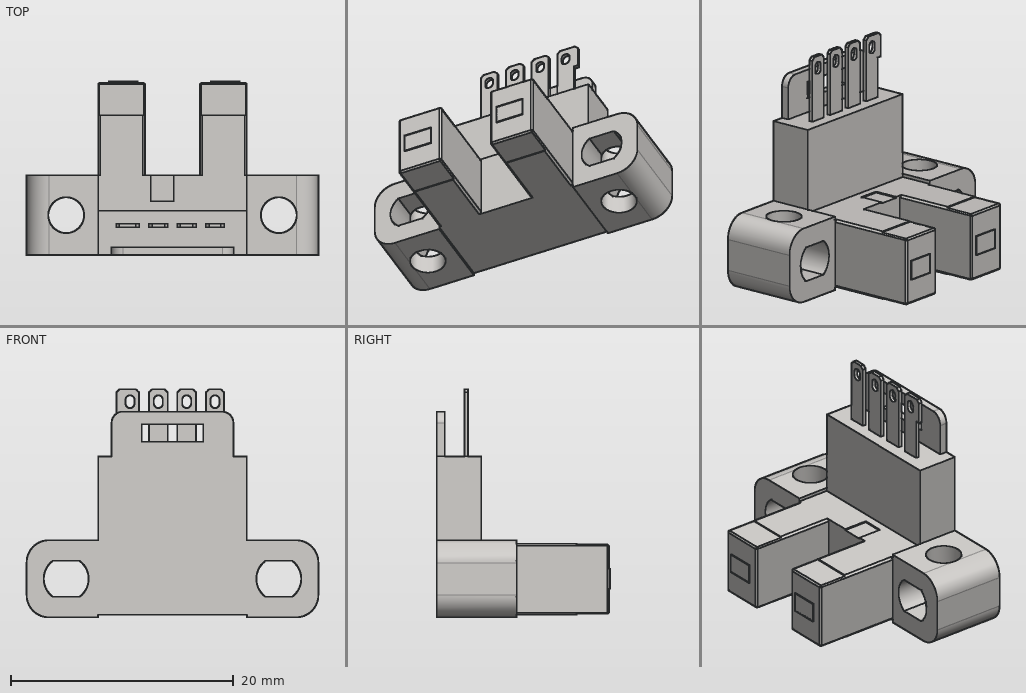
import cadquery as cq


ear_span = 26.2
ear_depth = 7.18
ear_height = 6.95
ear_corner_radius = 2.02
ear_mid_z = ear_height / 2

hole_offset_x = 9.54
hole_diameter = 3.2
slot_width = 4.0
slot_height = hole_diameter

body_width = 13.35
body_step = 0.24
body_base_drop = 0.31
body_base_top = ear_height - body_base_drop
upright_depth = 4.0
upright_top = 14.45

window_center_x = -0.92
window_width = 2.05
window_length = 2.35
window_recess = 0.1

tab_width = 10.95
tab_thickness = 0.73
tab_top = 18.47
tab_corner_radius = 1.02
tab_window_width = 5.48
tab_window_bottom = 15.77
tab_window_height = 1.55

arm_width = 4.22
arm_center_x = (body_width - arm_width) / 2
arm_tip_y = 15.48
arm_edge_chamfer = 0.2
arm_tip_chamfer = 0.15
cap_start_y = 12.55
cap_relief = 0.08
pad_thickness = 0.1
pad_width = 2.62
pad_height = 1.78
pad_shift_x = 0.15

pin_pitch = 2.55
inner_pin_x = pin_pitch / 2
outer_pin_x = inner_pin_x + pin_pitch
pin_thickness = 0.35
pin_rear_y = 2.5
pin_top = 20.5
pin_embed = 0.25
pin_chamfer = 0.3
inner_pin_width = 1.7
outer_pin_width = 1.62
pin_eye_width = 0.79
pin_eye_height = 1.13
pin_eye_z = 19.35
shoulder_bottom = 18.18
shoulder_width = 0.42


def block(x_min, x_max, y_min, y_max, z_min, z_max):
    """Box between the given limits."""
    return cq.Workplane("XY").box(
        x_max - x_min, y_max - y_min, z_max - z_min, centered=False
    ).translate((x_min, y_min, z_min))


def centered_block(width, y_min, y_max, z_min, z_max, center_x=0.0):
    """Box of a given X width about center_x."""
    return block(center_x - width / 2, center_x + width / 2, y_min, y_max, z_min, z_max)


def make_ears():
    ears = centered_block(ear_span, 0, ear_depth, 0, ear_height).edges("|Y").fillet(ear_corner_radius)
    return ears.cut(centered_block(body_width, 0, ear_depth, 0, ear_height))


def make_body():
    base = centered_block(body_width, 0, ear_depth, body_step, body_base_top)
    upright = centered_block(body_width, 0, upright_depth, body_step, upright_top)
    window = centered_block(
        window_width,
        ear_depth - window_length,
        ear_depth,
        body_base_top - window_recess,
        body_base_top,
        window_center_x,
    )
    return base.union(upright).cut(window)


def make_tab():
    tab = centered_block(tab_width, 0, tab_thickness, upright_top, tab_top)
    tab = tab.edges("|Y and >Z").fillet(tab_corner_radius)
    opening = centered_block(
        tab_window_width, 0, tab_thickness, tab_window_bottom, tab_window_bottom + tab_window_height
    )
    return tab.cut(opening)


def make_arm(center_x):
    arm = centered_block(arm_width, ear_depth, arm_tip_y, body_step, body_base_top, center_x)
    arm = arm.edges("|Y").chamfer(arm_edge_chamfer)
    for z_min in (body_step, body_base_top - cap_relief):
        arm = arm.cut(centered_block(arm_width, cap_start_y, arm_tip_y, z_min, z_min + cap_relief, center_x))
    arm = arm.faces(">Y").chamfer(arm_tip_chamfer)
    pad = centered_block(
        pad_width,
        arm_tip_y,
        arm_tip_y + pad_thickness,
        ear_mid_z - pad_height / 2,
        ear_mid_z + pad_height / 2,
        center_x + pad_shift_x,
    )
    return arm.union(pad)


def make_pin(center_x, width, left_shoulder=0.0):
    """Flat terminal; left_shoulder widens its head towards -X."""
    pin_front_y = pin_rear_y + pin_thickness
    right = center_x + width / 2
    left = center_x - width / 2
    head = block(left - left_shoulder, right, pin_rear_y, pin_front_y, shoulder_bottom, pin_top)
    head = head.edges("|Y and >Z").chamfer(pin_chamfer)
    stem = block(left, right, pin_rear_y, pin_front_y, upright_top - pin_embed, shoulder_bottom)
    eye = (
        cq.Workplane("XZ", origin=(center_x, pin_front_y, pin_eye_z))
        .slot2D(pin_eye_height, pin_eye_width, 90)
        .extrude(pin_thickness)
    )
    return head.union(stem).cut(eye)


def make_mounting_holes(center_x):
    round_hole = (
        cq.Workplane("XY", origin=(center_x, ear_depth / 2, 0)).circle(hole_diameter / 2).extrude(ear_height)
    )
    slot = (
        cq.Workplane("XZ", origin=(center_x, ear_depth, ear_mid_z)).circle(slot_width / 2).extrude(ear_depth)
    )
    flats = centered_block(
        slot_width, 0, ear_depth, ear_mid_z - slot_height / 2, ear_mid_z + slot_height / 2, center_x
    )
    return round_hole.union(slot.intersect(flats))


result = make_body().union(make_ears()).union(make_tab())
for side in (-1, 1):
    result = result.union(make_arm(side * arm_center_x))
    result = result.cut(make_mounting_holes(side * hole_offset_x))

result = result.union(make_pin(-outer_pin_x, outer_pin_width, shoulder_width))
result = result.union(make_pin(-inner_pin_x, inner_pin_width))
result = result.union(make_pin(inner_pin_x, inner_pin_width))
result = result.union(make_pin(outer_pin_x, outer_pin_width))